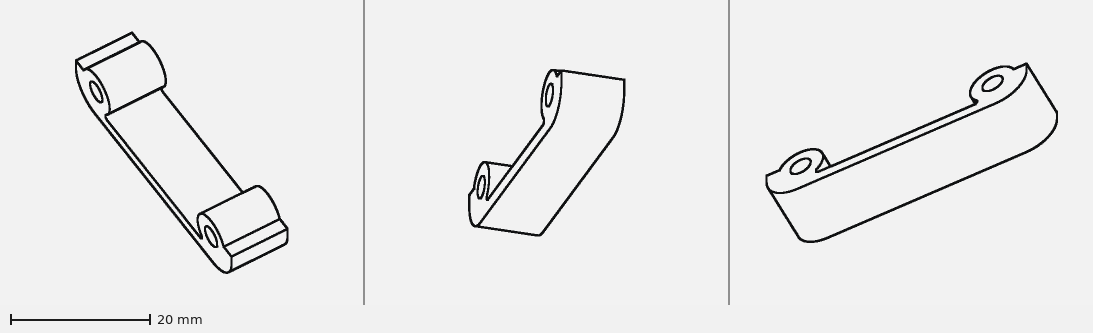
import cadquery as cq
import math

LENGTH = 42.0
WIDTH = 9.5
HEIGHT = 9.15

FLOOR_THICKNESS = 2.1
SHOULDER_HEIGHT = 6.85
CORNER_RADIUS = 5.0

HOLE_SPACING = 31.0
HOLE_DIAMETER = 3.3
HOLE_HEIGHT = 5.5
BOSS_RADIUS = HEIGHT - HOLE_HEIGHT
ROOT_FILLET = 0.5

SIDES = (-1, 1)
END_BLOCK_LENGTH = (LENGTH - HOLE_SPACING) / 2


def cylinder_along_y(x, z, radius):
    """Cylinder across the full width, centred on Y = 0."""
    return cq.Workplane("XZ").center(x, z).circle(radius).extrude(WIDTH / 2, both=True)


def block(length, height, x):
    """Full-width block standing on Z = 0, centred on the given X."""
    return cq.Workplane("XY").box(length, WIDTH, height, centered=(True, True, False)).translate((x, 0, 0))


def body():
    """Flat strap with a shouldered end block reaching in to each hole axis, lower corners rounded."""
    shape = block(LENGTH, FLOOR_THICKNESS, 0)
    for side in SIDES:
        block_center = side * (LENGTH - END_BLOCK_LENGTH) / 2
        shape = shape.union(block(END_BLOCK_LENGTH, SHOULDER_HEIGHT, block_center))
    return shape.faces("<Z").edges("|Y").fillet(CORNER_RADIUS)


def add_bosses(shape):
    """Round bosses, each blended into the strap floor on its inner side."""
    for side in SIDES:
        shape = shape.union(cylinder_along_y(side * HOLE_SPACING / 2, HOLE_HEIGHT, BOSS_RADIUS))

    edge_offset = math.sqrt(BOSS_RADIUS**2 - (HOLE_HEIGHT - FLOOR_THICKNESS) ** 2)
    for side in SIDES:
        edge_x = side * (HOLE_SPACING / 2 - edge_offset)
        root_edge = cq.selectors.NearestToPointSelector((edge_x, 0, FLOOR_THICKNESS))
        shape = shape.edges("|Y").edges(root_edge).fillet(ROOT_FILLET)
    return shape


def cut_holes(shape):
    """Pin hole through each boss."""
    for side in SIDES:
        shape = shape.cut(cylinder_along_y(side * HOLE_SPACING / 2, HOLE_HEIGHT, HOLE_DIAMETER / 2))
    return shape


result = cut_holes(add_bosses(body()))